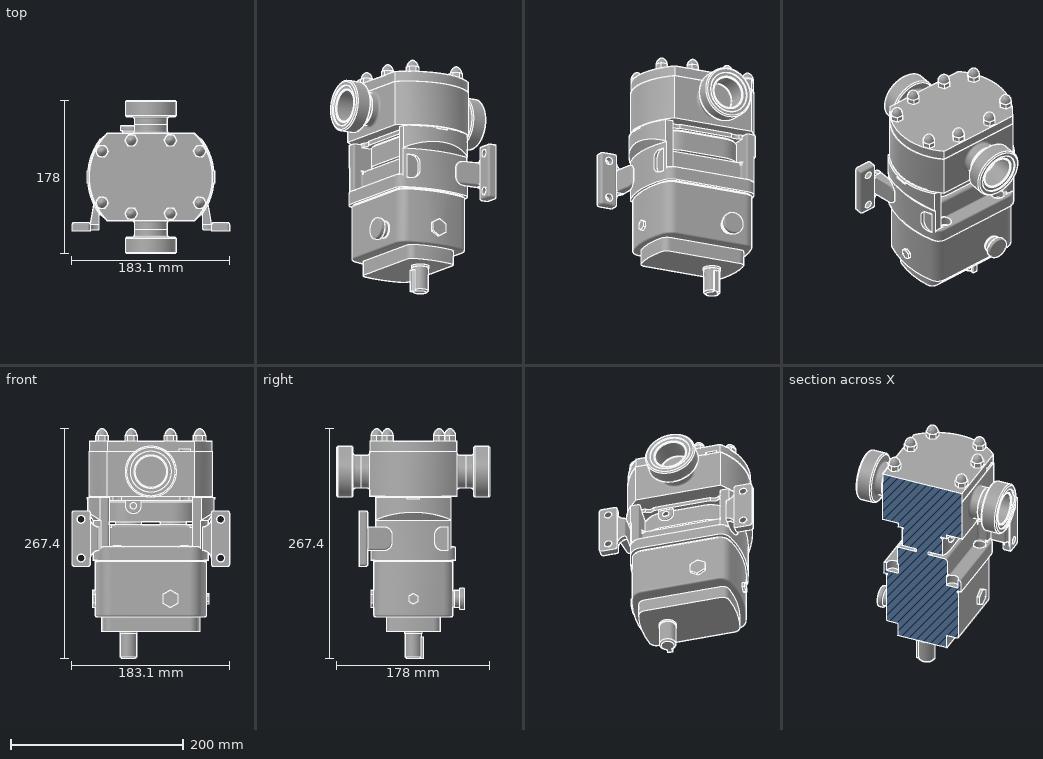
import cadquery as cq
import math


TOTAL_HEIGHT = 267.4
BASE_FLANGE_Z = 31.5
GEARCASE_Z = 48.5
ADAPTER_Z = 114.2
SHELF_Z = 130.0
CONE_Z = 160.1
ADAPTER_TOP_Z = 187.1
CASING_Z = 188.5
COVER_Z = 240.3
COVER_TOP_Z = 252.5
PORT_Z = 217.0
PLUG_Z = 69.5
FOOT_Z = 139.3

CASING_R = 72.0
CASING_HALF_Y = 50.8
COVER_R = 71.5
COVER_HALF_Y = 50.5
SLOT_R = 7.0
SLOT_X = 39.3
SLOT_HEIGHT = 3.2
SLOT_DEPTH = 5.3

GEARCASE = (64.7, 46.0, 113.4, 14.0)
GEARCASE_EDGE_R = 2.5
BASE_FLANGE = (57.2, 31.3, 106.0, 8.8)
ADAPTER = (66.8, 49.2, 118.2, 13.5)
GASKET_HEIGHT = 1.5
SEAT_INSET = 1.3
GASKET_INSET = 4.5

ADAPTER_HALF_X, SKIRT_HALF_Y = ADAPTER[:2]
ADAPTER_TOP_R = 73.5
WALL_HALF_Y = 43.8
CONE_ANGLE = 34.5
SHELF_EDGE_R = 2.1
TAB_REACH = 74.3
TAB_WIDTH = 14.2
TAB_HEIGHT = 2.0
WINDOW_HALF_X = 48.0
WINDOW_CORNER_R = 2.5
WINDOW_FLOOR_R = 1.5
POST_EDGE_R = 2.5
BLOCK_HALF_Y = 32.0
BLOCK_TOP_Z = 155.5
BLOCK_EDGE_R = 3.5
TOP_PLATE_Z = 183.7
TOP_PLATE_HALF_Y = 33.0
BOLT_X = 39.0
BOLT_Y = 38.0
BOLT_R = 7.2
BOLT_DEPTH = 10.7
PAD_X = 60.0

SHAFT_X = 26.0
SEAL_Z = 158.8
SEAL_R = 29.0
SEAL_CHAMFER = 2.0
SEAL_SHAFT_R = 15.2
DRAIN_X = -20.3
DRAIN_Z = 177.5
DRAIN_R = 9.0
DRAIN_HEIGHT = 1.5
DRAIN_EDGE_R = 1.0
DRAIN_HOLE_R = 3.7
DRAIN_HOLE_DEPTH = 5.3

DRIVE_R = 9.5
DRIVE_COLLAR_R = 10.2
DRIVE_COLLAR_LENGTH = 2.5
DRIVE_CHAMFER = 2.1
KEY_LENGTH = 25.5
KEY_WIDTH = 6.0
KEY_REACH = 12.0

NUT_PLACES = [(22.7, 42.5), (56.7, 30.0)]
NUT_CORNER_R = 7.5
NUT_TURN = -3.0
NUT_HEX_HEIGHT = 6.5
NUT_DOME_R = 6.7
NUT_DOME_MID_R = 4.8
NUT_DOME_MID_HEIGHT = 5.0

PLUG_CORNER_R = 10.2
PLUG_FACE_X = 67.6
PLUG_FACE_Y = 49.2
PLUG_OFFSET_X = 22.7
SMALL_PLUG_CORNER_R = 6.1
GLASS_BASE_R = 9.5
GLASS_NECK_R = 10.2
GLASS_NECK_Y = 47.5
GLASS_RIM_R = 12.5
GLASS_RIM_WIDTH = 6.1
GLASS_REACH = 59.5
GLASS_EDGE_R = 1.3

FOOT_REACH = 183.1 / 2
FOOT_PLATE_WIDTH = 21.5
FOOT_FRONT_Y = -62.8
FOOT_THICKNESS = 10.2
FOOT_HEIGHT = 64.7
FOOT_CORNER_R = 3.0
FOOT_HOLE_X = 81.0
FOOT_HOLE_PITCH = 45.0
FOOT_HOLE_DIAMETER = 8.8
WEB_THICKNESS = 6.5
WEB_SETBACK = 1.0
WEB_FLARE_R = 10.2
BEND_CORNER_R = 2.5
ARM_HEIGHT = 27.5
ARM_END_Y = 24.5
ARM_END_R = 9.5
ARM_EDGE_R = 2.1
ARM_ROOT_X = 70.0
ARM_TIP_X = 65.2

NECK_R = 19.2
NECK_FLARE_R = 2.7
JOINT_Y = 61.0
RING_Y = 69.8
RING_END_Y = 89.0
RING_R = 29.7
RING_CHAMFER = 1.5
RING_RECESS_R = 23.8
RING_RECESS_DEPTH = 1.5
BORE_R = 18.2
BORE_STEP_R = 19.5
BORE_STEP_DEPTH = 1.0


def box(x0, x1, y0, y1, z0, z1):
    """Box between two limits on each axis."""
    return cq.Workplane("XY").box(x1 - x0, y1 - y0, z1 - z0, centered=False).translate((x0, y0, z0))


def post(x, y, radius, z0, z1):
    """Vertical cylinder between two heights."""
    return cq.Workplane("XY").workplane(offset=z0).center(x, y).circle(radius).extrude(z1 - z0)


def flat_sided_disc(radius, half_y, z0, z1):
    """Disc with two flats facing -Y and +Y."""
    disc = post(0, 0, radius, z0, z1)
    return disc.intersect(box(-radius, radius, -half_y, half_y, z0, z1))


def barrel(section, z0, z1, inset=0.0):
    """Prism with flat -Y and +Y sides, bowed -X and +X sides and rounded corners."""
    half_x, half_y, side_r, corner_r = section
    half_x -= inset
    half_y -= inset
    flat_x = half_x - side_r + math.sqrt(side_r**2 - half_y**2)
    return (
        cq.Workplane("XY")
        .workplane(offset=z0)
        .moveTo(-flat_x, -half_y)
        .lineTo(flat_x, -half_y)
        .threePointArc((half_x, 0), (flat_x, half_y))
        .lineTo(-flat_x, half_y)
        .threePointArc((-half_x, 0), (-flat_x, -half_y))
        .close()
        .extrude(z1 - z0)
        .edges("|Z")
        .fillet(corner_r)
    )


def both_sides(body):
    """The body together with its mirror image across the YZ plane."""
    return body.union(body.mirror("YZ"))


def make_gearcase():
    case = barrel(GEARCASE, GEARCASE_Z, ADAPTER_Z - GASKET_HEIGHT)
    case = case.faces("<Z").edges().fillet(GEARCASE_EDGE_R)
    flange = barrel(BASE_FLANGE, BASE_FLANGE_Z, GEARCASE_Z)
    gasket = barrel(ADAPTER, ADAPTER_Z - GASKET_HEIGHT, ADAPTER_Z, inset=GASKET_INSET)
    return case.union(flange).union(gasket)


def make_drive_shaft():
    shaft = post(-SHAFT_X, 0, DRIVE_R, 0, BASE_FLANGE_Z).faces("<Z").chamfer(DRIVE_CHAMFER)
    collar = post(-SHAFT_X, 0, DRIVE_COLLAR_R, BASE_FLANGE_Z - DRIVE_COLLAR_LENGTH, BASE_FLANGE_Z)
    key = box(-SHAFT_X - KEY_WIDTH / 2, -SHAFT_X + KEY_WIDTH / 2, 0, KEY_REACH, 0, KEY_LENGTH)
    return shaft.union(collar).union(key)


def hexagon(corner_r, length):
    """Hexagonal prism along +X from the origin, with a corner pointing up."""
    return cq.Workplane("YZ").polygon(6, 2 * corner_r).extrude(length).rotate((0, 0, 0), (1, 0, 0), 90)


def make_plugs():
    large = hexagon(PLUG_CORNER_R, PLUG_FACE_X).rotate((0, 0, 0), (0, 0, 1), 180)
    front = hexagon(PLUG_CORNER_R, PLUG_FACE_Y).rotate((0, 0, 0), (0, 0, 1), -90)
    small = hexagon(SMALL_PLUG_CORNER_R, PLUG_FACE_X)
    plugs = large.union(small).union(front.translate((PLUG_OFFSET_X, 0, 0)))
    return plugs.translate((0, 0, PLUG_Z))


def make_sight_glass():
    base = cq.Workplane("XZ").circle(GLASS_BASE_R).extrude(-GLASS_NECK_Y)
    neck = (
        cq.Workplane("XZ")
        .workplane(offset=-GLASS_REACH)
        .circle(GLASS_NECK_R)
        .extrude(GLASS_REACH - GLASS_NECK_Y)
    )
    rim = (
        cq.Workplane("XZ")
        .workplane(offset=-GLASS_REACH)
        .circle(GLASS_RIM_R)
        .extrude(GLASS_RIM_WIDTH)
        .edges()
        .fillet(GLASS_EDGE_R)
    )
    return base.union(neck).union(rim).translate((-PLUG_OFFSET_X, 0, PLUG_Z))


def side_cone(direction):
    """Cone that continues one bowed adapter side upward and outward."""
    half_x, _, side_r, _ = ADAPTER
    height = CASING_Z - CONE_Z
    top_r = side_r + height * math.tan(math.radians(CONE_ANGLE))
    axis_point = cq.Vector(direction * (half_x - side_r), 0, CONE_Z)
    return cq.Workplane(cq.Solid.makeCone(side_r, top_r, height, axis_point))


def make_adapter_shell():
    skirt = barrel(ADAPTER, ADAPTER_Z, SHELF_Z).faces(">Z").edges().fillet(SHELF_EDGE_R)
    walls = barrel(ADAPTER, SHELF_Z - SHELF_EDGE_R, CONE_Z)
    between_flats = box(-ADAPTER_HALF_X, ADAPTER_HALF_X, -WALL_HALF_Y, WALL_HALF_Y, ADAPTER_Z, CONE_Z)
    walls = walls.intersect(between_flats)
    collar = flat_sided_disc(ADAPTER_TOP_R, WALL_HALF_Y, CONE_Z, ADAPTER_TOP_Z)
    collar = collar.intersect(side_cone(1)).intersect(side_cone(-1))
    tabs = box(
        -TAB_REACH, TAB_REACH, -TAB_WIDTH / 2, TAB_WIDTH / 2, ADAPTER_TOP_Z - TAB_HEIGHT, ADAPTER_TOP_Z
    )
    seat = flat_sided_disc(CASING_R - SEAT_INSET, TOP_PLATE_HALF_Y, TOP_PLATE_Z, CASING_Z)
    return skirt.union(walls).union(collar).union(tabs).union(seat)


def window_space():
    """Space open to -Y and +Y: a recess over each shelf, joined above the middle block."""
    recess = box(
        -WINDOW_HALF_X, WINDOW_HALF_X, BLOCK_HALF_Y, 2 * BLOCK_HALF_Y, SHELF_Z, TOP_PLATE_Z
    )
    recess = recess.edges("|Z and <Y").fillet(WINDOW_CORNER_R)
    recess = recess.edges("<Z and (not >Y)").fillet(WINDOW_FLOOR_R)
    through = box(
        -WINDOW_HALF_X, WINDOW_HALF_X, -SKIRT_HALF_Y, SKIRT_HALF_Y, BLOCK_TOP_Z, TOP_PLATE_Z
    )
    above_plate = box(
        -WINDOW_HALF_X, WINDOW_HALF_X, TOP_PLATE_HALF_Y, SKIRT_HALF_Y, TOP_PLATE_Z, CASING_Z
    )
    space = through
    for part in (recess, above_plate):
        space = space.union(part).union(part.mirror("XZ"))
    return space


def block_edge_cut():
    """Material removed to round the two long top edges of the middle block."""
    corner = box(
        -WINDOW_HALF_X,
        WINDOW_HALF_X,
        BLOCK_HALF_Y - BLOCK_EDGE_R,
        BLOCK_HALF_Y,
        BLOCK_TOP_Z - BLOCK_EDGE_R,
        BLOCK_TOP_Z,
    )
    rod = (
        cq.Workplane("YZ")
        .workplane(offset=-WINDOW_HALF_X)
        .center(BLOCK_HALF_Y - BLOCK_EDGE_R, BLOCK_TOP_Z - BLOCK_EDGE_R)
        .circle(BLOCK_EDGE_R)
        .extrude(2 * WINDOW_HALF_X)
    )
    cut = corner.cut(rod)
    return cut.union(cut.mirror("XZ"))


def bolt_pockets():
    """Counterbores in the shelves, and the matching grooves in the edge of the top plate."""
    levels = [(SHELF_Z - BOLT_DEPTH, SHELF_Z + WINDOW_FLOOR_R), (TOP_PLATE_Z, CASING_Z)]
    pockets = cq.Workplane("XY")
    for z0, z1 in levels:
        for side_x in (1, -1):
            for side_y in (1, -1):
                pockets = pockets.union(post(side_x * BOLT_X, side_y * BOLT_Y, BOLT_R, z0, z1))
    return pockets


def post_edge_cut():
    """Material removed to round the window-side edges of the four posts."""
    inner_y = WALL_HALF_Y - POST_EDGE_R
    outer_x = WINDOW_HALF_X + POST_EDGE_R
    corner = box(WINDOW_HALF_X, outer_x, inner_y, WALL_HALF_Y, SHELF_Z, ADAPTER_TOP_Z)
    cut = both_sides(corner.cut(post(outer_x, inner_y, POST_EDGE_R, SHELF_Z, ADAPTER_TOP_Z)))
    return cut.union(cut.mirror("XZ"))


def arm_outline(direction, x0, x1):
    """Bar along X between two depths whose inner end in Y is rounded, as a foot arm is."""
    outer_y = -FOOT_FRONT_Y
    bar = box(x0, x1, ARM_END_Y, outer_y, FOOT_Z - ARM_HEIGHT / 2, FOOT_Z + ARM_HEIGHT / 2)
    bar = bar.edges("|X and <Y").fillet(ARM_END_R)
    return bar if direction > 0 else bar.mirror("XZ")


def make_adapter():
    adapter = make_adapter_shell()
    for space in (window_space(), block_edge_cut(), bolt_pockets(), post_edge_cut()):
        adapter = adapter.cut(space)
    for direction in (1, -1):
        adapter = adapter.cut(both_sides(arm_outline(direction, PAD_X, PAD_X + ADAPTER_HALF_X)))
    return adapter


def make_seal_carrier():
    carrier = (
        cq.Workplane("XY")
        .workplane(offset=SEAL_Z)
        .slot2D(2 * (SHAFT_X + SEAL_R), 2 * SEAL_R)
        .extrude(TOP_PLATE_Z - SEAL_Z)
        .faces(">Z")
        .chamfer(SEAL_CHAMFER)
    )
    shafts = both_sides(post(SHAFT_X, 0, SEAL_SHAFT_R, BLOCK_TOP_Z, SEAL_Z))
    boss = (
        cq.Workplane("XZ")
        .moveTo(DRAIN_X - DRAIN_R, TOP_PLATE_Z)
        .lineTo(DRAIN_X - DRAIN_R, DRAIN_Z)
        .threePointArc((DRAIN_X, DRAIN_Z - DRAIN_R), (DRAIN_X + DRAIN_R, DRAIN_Z))
        .lineTo(DRAIN_X + DRAIN_R, TOP_PLATE_Z)
        .close()
        .extrude(SEAL_R + DRAIN_HEIGHT)
        .faces("<Y")
        .edges("not >Z")
        .fillet(DRAIN_EDGE_R)
    )
    hole = (
        cq.Workplane("XZ")
        .workplane(offset=SEAL_R - DRAIN_HOLE_DEPTH)
        .center(DRAIN_X, DRAIN_Z)
        .circle(DRAIN_HOLE_R)
        .extrude(DRAIN_HOLE_DEPTH + DRAIN_HEIGHT)
    )
    return carrier.union(shafts).union(boss).cut(hole)


def make_casing():
    casing = flat_sided_disc(CASING_R, CASING_HALF_Y, CASING_Z, COVER_Z)
    cover = flat_sided_disc(COVER_R, COVER_HALF_Y, COVER_Z, COVER_TOP_Z)
    slot_y = COVER_HALF_Y - SLOT_DEPTH + SLOT_R
    slot = post(SLOT_X, -slot_y, SLOT_R, COVER_Z, COVER_Z + SLOT_HEIGHT)
    return casing.union(cover.cut(slot))


def make_acorn_nut():
    """Hexagon with a pointed dome, standing on the origin."""
    dome_height = TOTAL_HEIGHT - COVER_TOP_Z - NUT_HEX_HEIGHT
    hexagon_base = (
        cq.Workplane("XY")
        .polygon(6, 2 * NUT_CORNER_R)
        .extrude(NUT_HEX_HEIGHT)
        .rotate((0, 0, 0), (0, 0, 1), NUT_TURN)
    )
    dome = (
        cq.Workplane("XZ")
        .moveTo(0, NUT_HEX_HEIGHT)
        .lineTo(NUT_DOME_R, NUT_HEX_HEIGHT)
        .threePointArc(
            (NUT_DOME_MID_R, NUT_HEX_HEIGHT + NUT_DOME_MID_HEIGHT), (0, NUT_HEX_HEIGHT + dome_height)
        )
        .close()
        .revolve(360, (0, 0, 0), (0, 1, 0))
    )
    return hexagon_base.union(dome)


def make_acorn_nuts():
    nut = make_acorn_nut()
    nuts = cq.Workplane("XY")
    for x, y in NUT_PLACES:
        for side_x in (1, -1):
            for side_y in (1, -1):
                nuts = nuts.add(nut.translate((side_x * x, side_y * y, COVER_TOP_Z)))
    return nuts


def make_foot():
    """Foot on the +X side: drilled plate, flared web and the arm that runs back to the adapter."""
    plate_x = FOOT_REACH - FOOT_PLATE_WIDTH
    back_y = FOOT_FRONT_Y + FOOT_THICKNESS
    plate = box(
        plate_x, FOOT_REACH, FOOT_FRONT_Y, back_y, FOOT_Z - FOOT_HEIGHT / 2, FOOT_Z + FOOT_HEIGHT / 2
    )
    plate = plate.edges("|Y").fillet(FOOT_CORNER_R).faces(">Y").edges().fillet(FOOT_CORNER_R)

    web_y = FOOT_FRONT_Y + WEB_SETBACK
    half = ARM_HEIGHT / 2
    flare_x = plate_x - WEB_FLARE_R
    flare_z = half + WEB_FLARE_R
    bend = WEB_FLARE_R * math.sqrt(0.5)
    web = (
        cq.Workplane("XZ", origin=(0, web_y, FOOT_Z))
        .moveTo(PAD_X, -half)
        .lineTo(flare_x, -half)
        .threePointArc((flare_x + bend, bend - flare_z), (plate_x, -flare_z))
        .lineTo(plate_x, flare_z)
        .threePointArc((flare_x + bend, flare_z - bend), (flare_x, half))
        .lineTo(PAD_X, half)
        .close()
        .extrude(-WEB_THICKNESS)
    )
    arm_plan = [
        (PAD_X, web_y),
        (ARM_ROOT_X, web_y),
        (ARM_ROOT_X, back_y),
        (ARM_TIP_X, -ARM_END_Y),
        (PAD_X, -ARM_END_Y),
    ]
    plan = (
        cq.Workplane("XY")
        .workplane(offset=FOOT_Z - ARM_HEIGHT)
        .polyline(arm_plan)
        .close()
        .extrude(2 * ARM_HEIGHT)
    )
    arm = arm_outline(-1, PAD_X, FOOT_REACH).intersect(plan)
    outer_normal = cq.Vector(-ARM_END_Y - back_y, ARM_ROOT_X - ARM_TIP_X, 0)
    arm = arm.faces(cq.selectors.ParallelDirSelector(outer_normal)).edges("not <Y").fillet(ARM_EDGE_R)
    holes = (
        cq.Workplane("XZ", origin=(FOOT_HOLE_X, back_y, FOOT_Z))
        .pushPoints([(0, -FOOT_HOLE_PITCH / 2), (0, FOOT_HOLE_PITCH / 2)])
        .circle(FOOT_HOLE_DIAMETER / 2)
        .extrude(FOOT_THICKNESS)
    )
    bracket_limit = box(PAD_X, FOOT_REACH, web_y, 0, FOOT_Z - FOOT_HEIGHT, FOOT_Z + FOOT_HEIGHT)
    bracket_limit = bracket_limit.edges("|Z and <X and <Y").fillet(BEND_CORNER_R)
    bracket = web.union(arm).intersect(bracket_limit)
    return plate.union(bracket).cut(holes)


def make_port_stubs():
    """Short necks on both flat casing faces, flared where they leave the casing."""
    flare_y = CASING_HALF_Y + NECK_FLARE_R
    bend = NECK_FLARE_R * (1 - math.sqrt(0.5))
    stub = (
        cq.Workplane("XY")
        .moveTo(0, CASING_HALF_Y)
        .lineTo(NECK_R + NECK_FLARE_R, CASING_HALF_Y)
        .threePointArc((NECK_R + bend, CASING_HALF_Y + bend), (NECK_R, flare_y))
        .lineTo(NECK_R, JOINT_Y)
        .lineTo(0, JOINT_Y)
        .close()
        .revolve(360, (0, 0, 0), (0, 1, 0))
        .translate((0, 0, PORT_Z))
    )
    return stub.union(stub.mirror("XZ"))


def make_port_fitting(turn):
    """Bored fitting with a collar ring, turned about Z to face -Y (0) or +Y (180 degrees)."""
    face_y = RING_END_Y - RING_RECESS_DEPTH
    bend = NECK_FLARE_R * (1 - math.sqrt(0.5))
    fitting = (
        cq.Workplane("XY")
        .moveTo(BORE_R, JOINT_Y)
        .lineTo(NECK_R, JOINT_Y)
        .lineTo(NECK_R, RING_Y - NECK_FLARE_R)
        .threePointArc((NECK_R + bend, RING_Y - bend), (NECK_R + NECK_FLARE_R, RING_Y))
        .lineTo(RING_R - RING_CHAMFER, RING_Y)
        .lineTo(RING_R, RING_Y + RING_CHAMFER)
        .lineTo(RING_R, RING_END_Y - RING_CHAMFER)
        .lineTo(RING_R - RING_CHAMFER, RING_END_Y)
        .lineTo(RING_RECESS_R, RING_END_Y)
        .lineTo(RING_RECESS_R, face_y)
        .lineTo(BORE_STEP_R, face_y)
        .lineTo(BORE_STEP_R, face_y - BORE_STEP_DEPTH)
        .lineTo(BORE_R, face_y - BORE_STEP_DEPTH)
        .close()
        .revolve(360, (0, 0, 0), (0, 1, 0))
    )
    return fitting.rotate((0, 0, 0), (0, 0, 1), 180 + turn).translate((0, 0, PORT_Z))


def make_housing():
    housing = make_gearcase()
    parts = [
        make_adapter(),
        make_seal_carrier(),
        make_casing(),
        make_drive_shaft(),
        make_plugs(),
        make_sight_glass(),
        both_sides(make_foot()),
        make_port_stubs(),
    ]
    for part in parts:
        housing = housing.union(part)
    for nut in make_acorn_nuts().vals():
        housing = housing.union(cq.Workplane(nut))
    return housing


housing = make_housing()
port_fittings = [make_port_fitting(turn) for turn in (0, 180)]

result = cq.Compound.makeCompound([housing.val(), *[fitting.val() for fitting in port_fittings]])